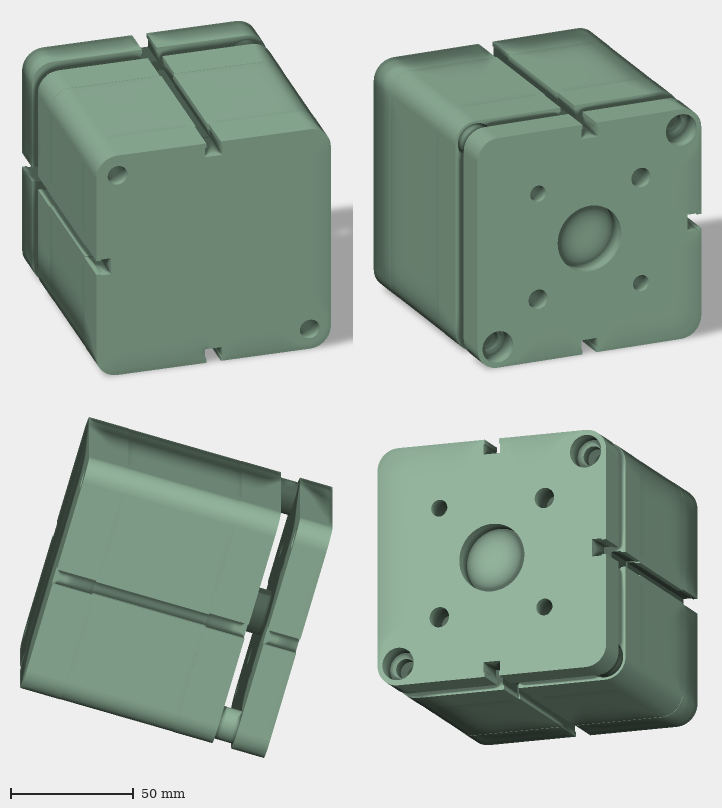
import cadquery as cq

TOTAL_LENGTH = 103.5
WIDTH = 100.0
CORNER_RADIUS = 9.0

PLATE_THICKNESS = 13.9
GAP = 8.1
CAP_LENGTH = 16.8
CAP_FRONT = PLATE_THICKNESS + GAP
BARREL_FRONT = CAP_FRONT + CAP_LENGTH
BARREL_BACK = TOTAL_LENGTH - CAP_LENGTH

BARREL_RECESS = 0.1
BARREL_WIDTH = WIDTH - 2 * BARREL_RECESS
BARREL_CORNER_RADIUS = CORNER_RADIUS - BARREL_RECESS

CAP_SLOT_OPENING = 6.2
CAP_SLOT_INNER_WIDTH = 7.2
CAP_SLOT_LIP = 2.0
CAP_SLOT_DEPTH = 6.2
BARREL_SLOT_OPENING = 5.2
BARREL_SLOT_INNER_WIDTH = 6.2
BARREL_SLOT_LIP = 2.5
BARREL_SLOT_DEPTH = 5.7
SLOT_ANGLES = (0, 90, 180)

CORNER_OFFSET = WIDTH / 2 - CORNER_RADIUS
GUIDE_CORNERS = [(CORNER_OFFSET, CORNER_OFFSET), (-CORNER_OFFSET, -CORNER_OFFSET)]
BOLT_CORNERS = [(-CORNER_OFFSET, CORNER_OFFSET), (CORNER_OFFSET, -CORNER_OFFSET)]

GUIDE_DIAMETER = 13.9
GUIDE_BORE_DIAMETER = 15.9

BOLT_DIAMETER = 8.4
BOLT_HEAD_DIAMETER = 13.7
BOLT_HEAD_DEPTH = 8.7
BOLT_CHAMFER = 0.5

PLATE_RECESS_DIAMETER = 28.5
PLATE_RECESS_DEPTH = 8.7
PATTERN_OFFSET = 23.0
LARGE_HOLE_DIAMETER = 8.5
SMALL_HOLE_DIAMETER = 7.0
LARGE_HOLES = [(-PATTERN_OFFSET, PATTERN_OFFSET), (PATTERN_OFFSET, -PATTERN_OFFSET)]
SMALL_HOLES = [(PATTERN_OFFSET, PATTERN_OFFSET), (-PATTERN_OFFSET, -PATTERN_OFFSET)]

ROD_DIAMETER = 20.1
ROD_CHAMFER_LENGTH = 0.7
ROD_CHAMFER_DEPTH = 0.4
ROD_FLAT_WIDTH = 17.0
ROD_FLAT_LENGTH = 6.6
ROD_SHOULDER_RUN = 0.5


def section_plane(x):
    """Plane across the X axis: local x is Y, local y is Z, and extrusion runs toward +X."""
    return cq.Workplane("YZ", origin=(x, 0, 0))


def cylinders(x, length, diameter, centers):
    """Equal cylinders along +X at the given (Y, Z) centers."""
    return section_plane(x).pushPoints(centers).circle(diameter / 2).extrude(length)


def rounded_block(x, length, width, radius):
    """Square block with its four long edges rounded."""
    return section_plane(x).rect(width, width).extrude(length).edges("|X").fillet(radius)


def slots(x, length, opening, inner_width, lip, depth):
    """Undercut groove cutters in the top, front and bottom faces."""
    top = WIDTH / 2
    narrow = (
        section_plane(x)
        .center(0, top - depth / 2)
        .rect(opening, depth)
        .extrude(length)
    )
    wide_height = depth - lip
    wide = (
        section_plane(x)
        .center(0, top - depth + wide_height / 2)
        .rect(inner_width, wide_height)
        .extrude(length)
    )
    groove = narrow.union(wide)
    cutter = cq.Workplane()
    for angle in SLOT_ANGLES:
        cutter = cutter.add(groove.rotate((0, 0, 0), (1, 0, 0), angle))
    return cutter.combine()


def cap_section(x, length):
    """Stretch of block with the wide grooves shared by the plate and both caps."""
    block = rounded_block(x, length, WIDTH, CORNER_RADIUS)
    return block.cut(
        slots(x, length, CAP_SLOT_OPENING, CAP_SLOT_INNER_WIDTH, CAP_SLOT_LIP, CAP_SLOT_DEPTH)
    )


def bolt_countersinks():
    """Small cones that break the edges of the bolt holes in the front cap face."""
    mouth_radius = BOLT_DIAMETER / 2 + BOLT_CHAMFER
    cone = cq.Solid.makeCone(
        mouth_radius, BOLT_DIAMETER / 2, BOLT_CHAMFER, cq.Vector(CAP_FRONT, 0, 0), cq.Vector(1, 0, 0)
    )
    cutter = cq.Workplane()
    for y, z in BOLT_CORNERS:
        cutter = cutter.add(cone.translate(cq.Vector(0, y, z)))
    return cutter.combine()


def make_yoke_plate():
    """Plate with a central recess, counterbored bolt holes and four through holes."""
    plate = cap_section(0, PLATE_THICKNESS)
    plate = plate.cut(cylinders(0, PLATE_RECESS_DEPTH, PLATE_RECESS_DIAMETER, [(0, 0)]))
    plate = plate.cut(cylinders(0, BOLT_HEAD_DEPTH, BOLT_HEAD_DIAMETER, BOLT_CORNERS))
    plate = plate.cut(cylinders(0, PLATE_THICKNESS, BOLT_DIAMETER, BOLT_CORNERS))
    plate = plate.cut(cylinders(0, PLATE_THICKNESS, LARGE_HOLE_DIAMETER, LARGE_HOLES))
    return plate.cut(cylinders(0, PLATE_THICKNESS, SMALL_HOLE_DIAMETER, SMALL_HOLES))


def make_housing():
    """Front cap, barrel and rear cap in one piece, bored for the rod, guides and bolts."""
    barrel_length = BARREL_BACK - BARREL_FRONT
    barrel = rounded_block(BARREL_FRONT, barrel_length, BARREL_WIDTH, BARREL_CORNER_RADIUS).cut(
        slots(
            BARREL_FRONT,
            barrel_length,
            BARREL_SLOT_OPENING,
            BARREL_SLOT_INNER_WIDTH,
            BARREL_SLOT_LIP,
            BARREL_SLOT_DEPTH,
        )
    )
    housing = cap_section(CAP_FRONT, CAP_LENGTH).union(barrel)
    housing = housing.union(cap_section(BARREL_BACK, CAP_LENGTH))
    housing = housing.cut(cylinders(CAP_FRONT, CAP_LENGTH, ROD_DIAMETER, [(0, 0)]))
    housing = housing.cut(cylinders(CAP_FRONT, CAP_LENGTH, GUIDE_BORE_DIAMETER, GUIDE_CORNERS))
    housing = housing.cut(cylinders(CAP_FRONT, TOTAL_LENGTH - CAP_FRONT, BOLT_DIAMETER, BOLT_CORNERS))
    return housing.cut(bolt_countersinks())


def make_piston_rod():
    """Rod from the plate to the back of the front cap, with a chamfered end and two flats."""
    radius = ROD_DIAMETER / 2
    rod = cylinders(PLATE_THICKNESS, GAP + CAP_LENGTH, ROD_DIAMETER, [(0, 0)])
    rod = rod.faces("<X").chamfer(ROD_CHAMFER_LENGTH, ROD_CHAMFER_DEPTH)
    flat = ROD_FLAT_WIDTH / 2
    flat_end = PLATE_THICKNESS + ROD_FLAT_LENGTH
    flat_cutter = (
        cq.Workplane("XY", origin=(0, 0, -radius))
        .moveTo(PLATE_THICKNESS, flat)
        .lineTo(flat_end, flat)
        .lineTo(flat_end + ROD_SHOULDER_RUN, radius)
        .lineTo(PLATE_THICKNESS, radius)
        .close()
        .extrude(ROD_DIAMETER)
    )
    return rod.cut(flat_cutter).cut(flat_cutter.mirror("XZ"))


def make_guide_rod(center):
    """Guide rod from the plate to the back of the front cap."""
    return cylinders(PLATE_THICKNESS, GAP + CAP_LENGTH, GUIDE_DIAMETER, [center])


yoke_plate = make_yoke_plate()
housing = make_housing()
piston_rod = make_piston_rod()
guide_rods = []
for corner in GUIDE_CORNERS:
    guide_rods.append(make_guide_rod(corner).val())

result = cq.Compound.makeCompound([yoke_plate.val(), housing.val(), piston_rod.val(), *guide_rods])